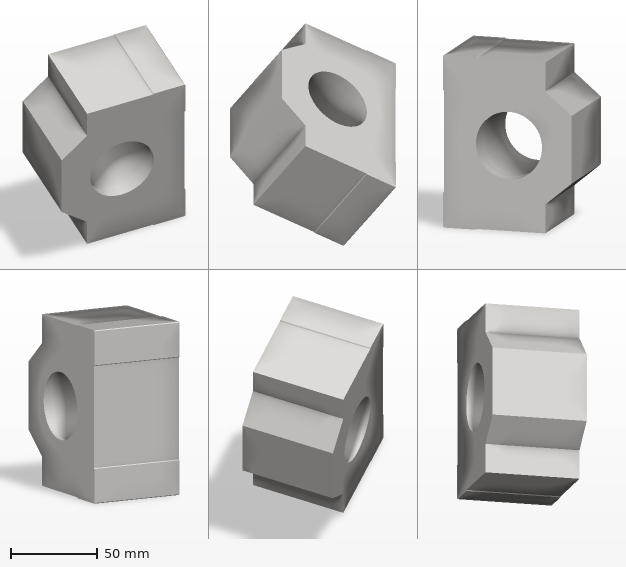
import cadquery as cq
import math

width = 56.4
bore_diameter = 40.0

back_y = 40.0
step_y = 20.0
shoulder_y = -22.0
nose_y = -38.0

pad_height = 0.5

back_half_height = 51.0
shoulder_half_height = back_half_height - pad_height
relief_half_height = 30.0

flank_angle = 40.0
nose_tip_half_height = bore_diameter / 2
flank_rise = (shoulder_y - nose_y) * math.tan(math.radians(flank_angle))
nose_root_half_height = nose_tip_half_height + flank_rise


def block():
    """Symmetric side profile extruded along X."""
    upper_half = [
        (nose_y, nose_tip_half_height),
        (shoulder_y, nose_root_half_height),
        (shoulder_y, shoulder_half_height),
        (step_y - pad_height, shoulder_half_height),
        (step_y, back_half_height),
        (back_y - pad_height, back_half_height),
        (back_y, back_half_height - pad_height),
        (back_y, relief_half_height + pad_height),
        (back_y - pad_height, relief_half_height),
    ]
    lower_half = [(y, -z) for y, z in reversed(upper_half)]
    profile = cq.Workplane("YZ").polyline(upper_half + lower_half).close()
    return profile.extrude(width / 2, both=True)


def bore():
    """Through-hole cutter along X."""
    return cq.Workplane("YZ").circle(bore_diameter / 2).extrude(width / 2, both=True)


result = block().cut(bore())